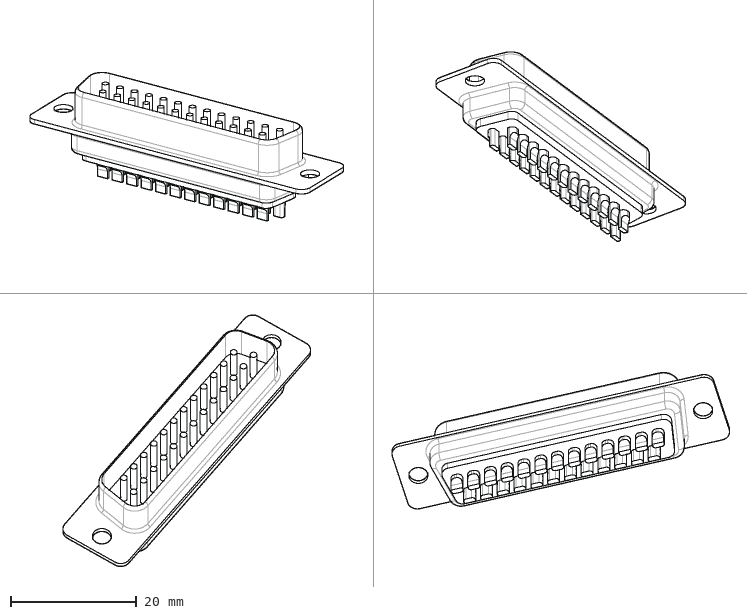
import cadquery as cq
import math

FLANGE_LENGTH = 53.1
FLANGE_WIDTH = 12.5
FLANGE_THICKNESS = 0.8
FLANGE_CORNER_RADIUS = 1.6
MOUNT_HOLE_DIAMETER = 3.05
MOUNT_HOLE_SPACING = 47.05

SIDE_SLOPE = 10.0
SHELL_WIDTH = 39.55
SHELL_HEIGHT = 9.5
SHELL_CORNER_RADIUS = 2.55
BACK_WIDTH = 40.05
BACK_HEIGHT = 10.8
BACK_CORNER_RADIUS = 1.95
INSULATOR_WIDTH = 37.05
INSULATOR_HEIGHT = 7.35
INSULATOR_CORNER_RADIUS = 1.3

SHELL_RISE = 6.05
SHELL_WALL = 0.5
SHELL_RIM_RADIUS = 0.8
SHELL_ROOT_RADIUS = 0.5

BACK_DEPTH = 4.0
BACK_EDGE_RADIUS = 0.9
BACK_ROOT_RADIUS = 0.65
INSULATOR_DEPTH = 1.45

CONTACTS_PER_ROW = {1: 13, -1: 12}
LONG_ROW_SPAN = 33.25
CONTACT_PITCH = LONG_ROW_SPAN / (CONTACTS_PER_ROW[1] - 1)
ROW_SPACING = 2.85
ROW_SHIFT = 0.15
PIN_DIAMETER = 1.05
PIN_TOP_BELOW_RIM = 0.55

TAIL_LENGTH = 3.2
TAIL_WIDTH = 1.9
TAIL_INNER_FACE = 0.7
TAIL_OUTER_FACE = 0.75
TAIL_INNER_RADIUS = 0.5
TAIL_OUTER_RADIUS = 0.8
TAIL_LAND_OFFSET = 0.1
TAIL_LAND_LENGTH = 1.3
TAIL_SCOOP_RADIUS = 1.0

FLANGE_TOP_Z = FLANGE_THICKNESS
CAVITY_FLOOR_Z = FLANGE_TOP_Z
RIM_Z = FLANGE_TOP_Z + SHELL_RISE
INSULATOR_BOTTOM_Z = -BACK_DEPTH - INSULATOR_DEPTH
TAIL_END_Z = INSULATOR_BOTTOM_Z - TAIL_LENGTH


def d_prism(width, height, corner_radius, bottom_z, top_z):
    """Rounded D-shaped prism, wider on its +Y side; width is measured at Y = 0."""
    lean = height / 2 * math.tan(math.radians(SIDE_SLOPE))
    upper = width / 2 + lean
    lower = width / 2 - lean
    corners = [
        (-upper, height / 2),
        (upper, height / 2),
        (lower, -height / 2),
        (-lower, -height / 2),
    ]
    prism = cq.Workplane("XY", origin=(0, 0, bottom_z)).polyline(corners).close().extrude(top_z - bottom_z)
    return prism.edges("|Z").fillet(corner_radius)


def make_flange():
    flange = cq.Workplane("XY").rect(FLANGE_LENGTH, FLANGE_WIDTH).extrude(FLANGE_THICKNESS)
    flange = flange.edges("|Z").fillet(FLANGE_CORNER_RADIUS)
    hole_centers = [(-MOUNT_HOLE_SPACING / 2, 0), (MOUNT_HOLE_SPACING / 2, 0)]
    return flange.faces(">Z").workplane().pushPoints(hole_centers).hole(MOUNT_HOLE_DIAMETER)


def fillet_root(body, wall_height, flange_face_z, radius):
    """Fillet the D-shaped inside corner where a shell meets the flange face."""
    margin = 0.25
    half_x = MOUNT_HOLE_SPACING / 2 - margin
    half_y = wall_height / 2 + margin
    between_holes = cq.selectors.BoxSelector(
        (-half_x, -half_y, flange_face_z - margin),
        (half_x, half_y, flange_face_z + margin),
    )
    return body.edges(between_holes).fillet(radius)


def make_housing():
    shell = d_prism(SHELL_WIDTH, SHELL_HEIGHT, SHELL_CORNER_RADIUS, 0, RIM_Z)
    shell = shell.faces(">Z").edges().fillet(SHELL_RIM_RADIUS)
    back = d_prism(BACK_WIDTH, BACK_HEIGHT, BACK_CORNER_RADIUS, -BACK_DEPTH, FLANGE_TOP_Z / 2)
    back = back.faces("<Z").edges().fillet(BACK_EDGE_RADIUS)
    housing = make_flange().union(shell).union(back)
    housing = fillet_root(housing, SHELL_HEIGHT, FLANGE_TOP_Z, SHELL_ROOT_RADIUS)
    housing = fillet_root(housing, BACK_HEIGHT, 0, BACK_ROOT_RADIUS)

    cavity = d_prism(
        SHELL_WIDTH - 2 * SHELL_WALL / math.cos(math.radians(SIDE_SLOPE)),
        SHELL_HEIGHT - 2 * SHELL_WALL,
        SHELL_CORNER_RADIUS - SHELL_WALL,
        CAVITY_FLOOR_Z,
        RIM_Z,
    )
    insulator = d_prism(
        INSULATOR_WIDTH, INSULATOR_HEIGHT, INSULATOR_CORNER_RADIUS, INSULATOR_BOTTOM_Z, -BACK_DEPTH
    )
    return housing.cut(cavity).union(insulator)


def make_contact():
    """Contact on the Z axis, its solder land facing +Y."""
    pin_top_z = RIM_Z - PIN_TOP_BELOW_RIM
    pin = (
        cq.Workplane("XY", origin=(0, 0, INSULATOR_BOTTOM_Z))
        .circle(PIN_DIAMETER / 2)
        .extrude(pin_top_z - INSULATOR_BOTTOM_Z)
    )
    land_top_z = TAIL_END_Z + TAIL_LAND_LENGTH
    scoop_center_y = TAIL_LAND_OFFSET + TAIL_SCOOP_RADIUS
    scoop_angle = math.acos((scoop_center_y - TAIL_OUTER_FACE) / TAIL_SCOOP_RADIUS)
    scoop_middle = (
        scoop_center_y - TAIL_SCOOP_RADIUS * math.cos(scoop_angle / 2),
        land_top_z + TAIL_SCOOP_RADIUS * math.sin(scoop_angle / 2),
    )
    scoop_end = (TAIL_OUTER_FACE, land_top_z + TAIL_SCOOP_RADIUS * math.sin(scoop_angle))
    relief = (
        cq.Workplane("YZ")
        .moveTo(TAIL_LAND_OFFSET, TAIL_END_Z)
        .lineTo(TAIL_LAND_OFFSET, land_top_z)
        .threePointArc(scoop_middle, scoop_end)
        .lineTo(TAIL_OUTER_FACE, TAIL_END_Z)
        .close()
        .extrude(TAIL_WIDTH / 2, both=True)
    )
    thickness = TAIL_INNER_FACE + TAIL_OUTER_FACE
    center_y = (TAIL_OUTER_FACE - TAIL_INNER_FACE) / 2
    bar = (
        cq.Workplane("XY", origin=(0, center_y, TAIL_END_Z))
        .rect(TAIL_WIDTH, thickness)
        .extrude(TAIL_LENGTH)
    )
    bar = bar.edges("|Z and <Y").fillet(TAIL_INNER_RADIUS)
    bar = bar.edges("|Z and >Y").fillet(TAIL_OUTER_RADIUS)
    tail = bar.cut(relief)
    return pin.union(tail)


def add_contacts(housing):
    contact = make_contact()
    for row_side, count in CONTACTS_PER_ROW.items():
        facing = contact if row_side > 0 else contact.rotate((0, 0, 0), (0, 0, 1), 180)
        for index in range(count):
            x = (index - (count - 1) / 2) * CONTACT_PITCH + ROW_SHIFT
            housing = housing.union(facing.translate((x, row_side * ROW_SPACING / 2, 0)))
    return housing


result = add_contacts(make_housing())